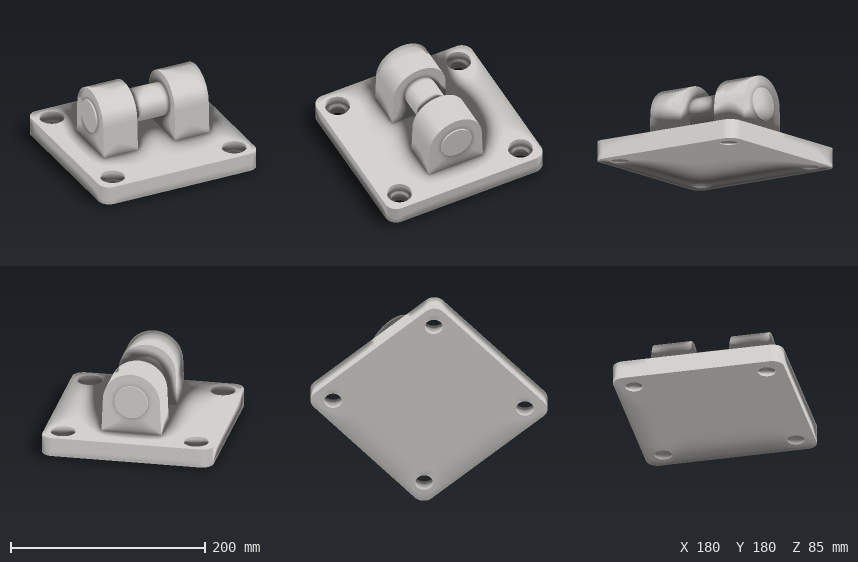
import cadquery as cq
import math

plate_side = 180.0
plate_thickness = 20.0
corner_radius = 12.25

hole_spacing = 140.0
hole_diameter = 18.0
counterbore_diameter = 26.0
counterbore_depth = 10.0

pin_height = 55.0
lug_top_radius = 30.0
lug_side_draft = 2.3
lug_gap = 43.0
lug_thickness = 39.25

pin_diameter = 35.0
pin_overhang = 2.0


def make_plate():
    plate = cq.Workplane("XY").box(
        plate_side, plate_side, plate_thickness, centered=(True, True, False)
    )
    return (
        plate.edges("|Z")
        .fillet(corner_radius)
        .faces(">Z")
        .workplane()
        .rect(hole_spacing, hole_spacing, forConstruction=True)
        .vertices()
        .cboreHole(hole_diameter, counterbore_diameter, counterbore_depth)
    )


def make_lug(y_front):
    """Lug with a rounded top and tapered flanks, from y_front toward +Y."""
    draft = math.radians(lug_side_draft)
    tangent_x = lug_top_radius * math.cos(draft)
    tangent_z = pin_height + lug_top_radius * math.sin(draft)
    foot_x = tangent_x + (tangent_z - plate_thickness) * math.tan(draft)
    return (
        cq.Workplane("XZ", origin=(0, y_front, 0))
        .moveTo(-foot_x, plate_thickness)
        .lineTo(-tangent_x, tangent_z)
        .threePointArc((0, pin_height + lug_top_radius), (tangent_x, tangent_z))
        .lineTo(foot_x, plate_thickness)
        .close()
        .extrude(-lug_thickness)
    )


def make_pin():
    pin_length = lug_gap + 2 * (lug_thickness + pin_overhang)
    return (
        cq.Workplane("XZ", origin=(0, 0, pin_height))
        .circle(pin_diameter / 2)
        .extrude(pin_length / 2, both=True)
    )


result = make_plate()
for lug_front in (-lug_gap / 2 - lug_thickness, lug_gap / 2):
    result = result.union(make_lug(lug_front))
result = result.union(make_pin())